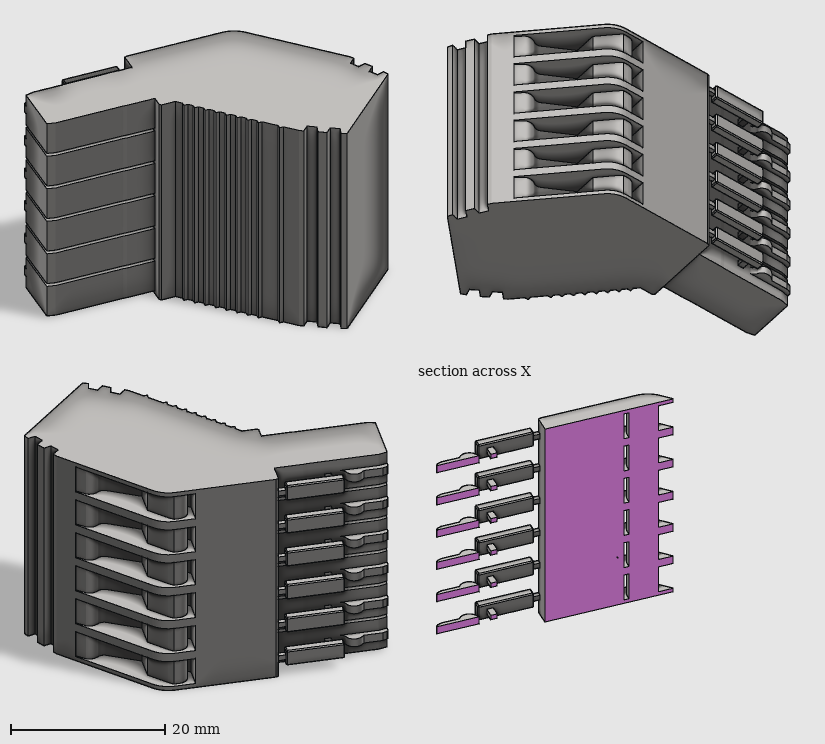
import cadquery as cq
import math

total_height = 31.2
total_length = 45.05
pole_count = 6
pole_pitch = total_height / pole_count

shoulder_width = 11.75
shoulder_chamfer = 0.23
left_corner_bevel = (0.15, 0.35)
left_corner_radius = 3.95
arm_axis_rise = 2.95
arm_half_width = 8.85
arm_reach = 27.05
arm_end_half_width = 7.1

snap_count = 2
snap_pitch = 2.95
snap_step = 0.75
snap_start = 25.7
snap_wall_bottom = 7.53
snap_wall_top = 8.7
snap_floor_end = (26.95, 7.25)
snap_tip = (27.45, 8.15)
snap_shoulder_length = 0.6

tooth_first_x = 13.0
tooth_pitch = 1.5
tooth_slots = (0, 1, 2, 3, 4, 5, 6, 7, 9)
tooth_size = 0.55

plug_gap = 0.45
plug_height = pole_pitch - plug_gap
plug_left = 2.55
plug_right = 10.1
plug_step = 0.05
plug_step_start = 3.88
plug_step_end = 4.45
plug_tip_bevel = (0.3, 1.15)

clip_left = -0.15
clip_thickness = 1.2
clip_start = 1.0
clip_length = 7.8
clip_height = 2.3
clip_chamfer = 0.158
stem_left = 0.15
stem_thickness = 0.65
strut_start = 6.65
strut_length = 0.9
strut_height = 0.75

latch_height = 1.2
latch_rail_left = 1.95
latch_root_y = -8.8
latch_root_bend = (2.4, -9.25)
latch_bump_start = (2.0, -9.5)
latch_bump_crest = (1.35, -10.6)
latch_bump_end = (1.65, -11.5)
latch_rail_start_y = -11.75
latch_rail_bevel = (0.23, 0.65)
latch_toe = 0.2

pocket_height = 3.9
pocket_top_y = 24.9
pocket_bottom_y = 11.05
tongue_depth = 1.4
tongue_top_y = 16.7
tongue_bottom_y = 14.45
pocket_wall_depth = 0.2
pocket_slope = math.tan(math.radians(28.7))
pocket_lead_in = math.tan(math.radians(40))
pocket_lead_in_end_y = 23.6
pocket_bump_end_y = 22.15
pocket_bump_drop = 0.1
pocket_bump_sag = 0.158
pocket_hollow_end_y = 20.85
nose_radius = 1.35
nose_flat_length = 0.75
nose_ramp_length = 0.65
pocket_outside_x = -0.45
slot_floor_x = 2.7
slot_floor_slope = 0.4

root2 = math.sqrt(2)
plug_length = total_length - arm_axis_rise - arm_reach
corner_y = arm_axis_rise + arm_half_width * root2


def arm_point(along, across):
    """Point given along and across the arm axis; positive across is the upper side."""
    return ((along - across) / root2, arm_axis_rise + (along + across) / root2)


def prism(outline, bottom, height):
    return outline.close().extrude(height).translate((0, 0, bottom))


def arm_end_points():
    """Stepped upper edge of the arm from its side to the end face, as (along, across)."""
    points = [(snap_start - snap_shoulder_length, arm_half_width)]
    for groove in range(snap_count):
        shift = groove * snap_pitch
        drop = groove * snap_step
        points += [
            (snap_start + shift, snap_wall_top - drop),
            (snap_start + shift, snap_wall_bottom - drop),
            (snap_floor_end[0] + shift, snap_floor_end[1] - drop),
            (snap_tip[0] + shift, snap_tip[1] - drop),
        ]
    arm_length = arm_reach * root2 - arm_end_half_width
    points.append((arm_length, arm_end_half_width))
    return points


def make_housing():
    upper = arm_end_points()
    lower = [(along, -across) for along, across in reversed(upper)]
    lower_bend_y = arm_axis_rise + shoulder_width - arm_half_width * root2
    points = [
        (left_corner_bevel[0], 0),
        (0, left_corner_bevel[1]),
        (0, corner_y),
        *[arm_point(*point) for point in upper + lower],
        (shoulder_width, lower_bend_y),
        (shoulder_width, shoulder_chamfer),
        (shoulder_width - shoulder_chamfer, 0),
    ]
    body = prism(cq.Workplane("XY").polyline(points), 0, total_height)
    corner = cq.selectors.NearestToPointSelector((0, corner_y, total_height / 2))
    return body.edges("|Z").edges(corner).fillet(left_corner_radius)


def make_teeth():
    teeth = []
    for slot in tooth_slots:
        tip_x = tooth_first_x + slot * tooth_pitch / root2
        face_y = arm_axis_rise + tip_x - arm_half_width * root2
        tooth = (
            cq.Workplane("XY")
            .moveTo(tip_x, face_y)
            .lineTo(tip_x, face_y - tooth_size)
            .lineTo(tip_x - tooth_size, face_y - tooth_size)
        )
        teeth.append(prism(tooth, 0, total_height))
    return teeth


def make_pocket(middle_z):
    def upper_side_x(y):
        """X of the arm's upper side at a given Y."""
        return y - corner_y

    tongue_shift = tongue_depth * root2
    top_x = upper_side_x(pocket_top_y)
    wall = pocket_wall_depth / root2
    lead_in_start = (top_x + wall, pocket_top_y - wall)
    lead_in_end_x = lead_in_start[0] - (lead_in_start[1] - pocket_lead_in_end_y) * pocket_lead_in
    lead_in_end = (lead_in_end_x, pocket_lead_in_end_y)
    bump_end = (lead_in_end_x + pocket_bump_drop, pocket_bump_end_y)
    hollow_end = (lead_in_end_x + 2 * pocket_bump_drop, pocket_hollow_end_y)
    bump_crest = (lead_in_end_x - pocket_bump_sag, (pocket_lead_in_end_y + pocket_bump_end_y) / 2)
    hollow_bottom = (hollow_end[0] + pocket_bump_sag, (pocket_bump_end_y + pocket_hollow_end_y) / 2)
    slope_end_x = hollow_end[0] - (pocket_hollow_end_y - tongue_top_y) * pocket_slope
    tongue_end_x = upper_side_x(tongue_bottom_y) + tongue_shift
    ramp_end = (tongue_end_x - nose_ramp_length * pocket_lead_in, tongue_bottom_y - nose_ramp_length)
    nose_start_y = ramp_end[1] - nose_flat_length
    nose_centre = (ramp_end[0] + nose_radius, nose_start_y)
    nose_middle = (nose_centre[0] - nose_radius / root2, nose_centre[1] - nose_radius / root2)
    nose_end = (nose_centre[0], nose_centre[1] - nose_radius)
    pocket = (
        cq.Workplane("XY")
        .moveTo(top_x, pocket_top_y)
        .lineTo(*lead_in_start)
        .lineTo(*lead_in_end)
        .threePointArc(bump_crest, bump_end)
        .threePointArc(hollow_bottom, hollow_end)
        .lineTo(slope_end_x, tongue_top_y)
        .lineTo(upper_side_x(tongue_top_y) + tongue_shift, tongue_top_y)
        .lineTo(tongue_end_x, tongue_bottom_y)
        .lineTo(*ramp_end)
        .lineTo(ramp_end[0], nose_start_y)
        .threePointArc(nose_middle, nose_end)
        .lineTo(slot_floor_x + slot_floor_slope, nose_end[1])
        .lineTo(slot_floor_x, pocket_bottom_y)
        .lineTo(pocket_outside_x, pocket_bottom_y)
        .lineTo(pocket_outside_x, pocket_top_y)
    )
    return prism(pocket, middle_z - pocket_height / 2, pocket_height)


def make_plug(middle_z):
    bevel_x, bevel_y = plug_tip_bevel
    left_edge = [
        (plug_left, 0),
        (plug_left, -plug_step_start),
        (plug_left + plug_step, -plug_step_end),
        (plug_left + plug_step, -plug_length + bevel_y),
        (plug_left + bevel_x, -plug_length),
    ]
    right_edge = [(plug_left + plug_right - x, y) for x, y in reversed(left_edge)]
    outline = cq.Workplane("XY").polyline(left_edge + right_edge)
    return prism(outline, middle_z - plug_height / 2, plug_height)


def make_block(left, right, start, length, height, middle_z):
    """Box between two X values, starting at a distance below the shoulder."""
    return cq.Workplane("XY").box(right - left, length, height).translate(
        ((left + right) / 2, -start - length / 2, middle_z)
    )


def make_clip(middle_z):
    clip_right = clip_left + clip_thickness
    plate = make_block(clip_left, clip_right, clip_start, clip_length, clip_height, middle_z)
    plate = plate.edges().chamfer(clip_chamfer)
    stem = make_block(stem_left, stem_left + stem_thickness, 0, clip_start, strut_height, middle_z)
    strut = make_block(clip_right, plug_left + plug_step, strut_start, strut_length, strut_height, middle_z)
    return plate.union(stem).union(strut)


def make_latch(middle_z):
    bevel_x, bevel_y = latch_rail_bevel
    inside_x = plug_left + plug_tip_bevel[0]
    root_x = plug_left + plug_step
    latch = (
        cq.Workplane("XY")
        .moveTo(inside_x, latch_root_y)
        .lineTo(root_x, latch_root_y)
        .threePointArc(latch_root_bend, latch_bump_start)
        .threePointArc(latch_bump_crest, latch_bump_end)
        .lineTo(latch_rail_left, latch_rail_start_y)
        .lineTo(latch_rail_left, -plug_length + bevel_y + latch_toe)
        .lineTo(latch_rail_left + bevel_x, -plug_length + latch_toe)
        .lineTo(latch_rail_left + bevel_x + latch_toe, -plug_length)
        .lineTo(inside_x, -plug_length)
    )
    return prism(latch, middle_z - latch_height / 2, latch_height)


result = make_housing()
for tooth in make_teeth():
    result = result.union(tooth)
for pole in range(pole_count):
    pole_bottom = pole * pole_pitch
    plug_middle = pole_bottom + plug_gap + plug_height / 2
    result = result.cut(make_pocket(pole_bottom + pole_pitch / 2))
    result = result.union(make_plug(plug_middle))
    result = result.union(make_latch(plug_middle))
    result = result.union(make_clip(plug_middle))